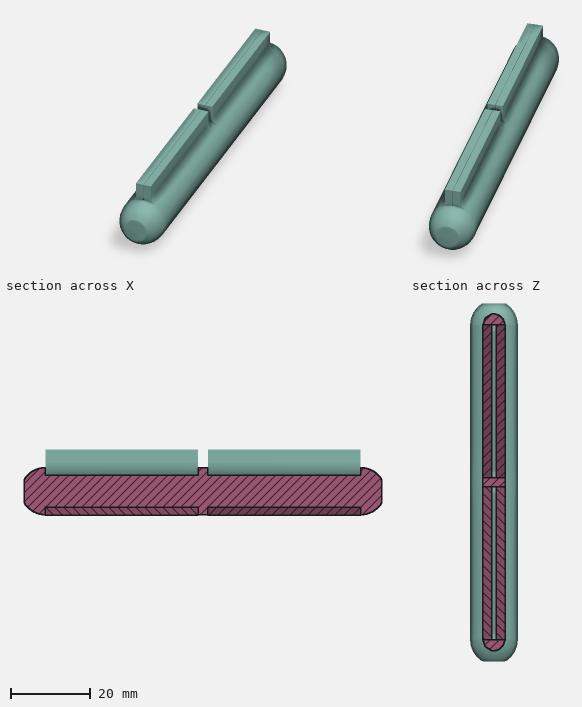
import cadquery as cq
import math

LENGTH = 89.5
BARREL_RADIUS = 6.0
LEAF_TOP = 10.5

SHEET = 2.0
LEAF_GAP = 0.1
BEND_RADIUS = 2.3
SLEEVE_LENGTH = 38.1

SHANK_RADIUS = BARREL_RADIUS - SHEET
COLLAR_WIDTH = 2.4
CAP_FOOT_Y = COLLAR_WIDTH / 2 + SLEEVE_LENGTH
RIM_RADIUS = 3.1
END_CHAMFER = 0.45
END_CHAMFER_DEPTH = 0.1


def make_sleeve(start_y):
    """Strip wrapped round the shank, its ends bent up side by side with a narrow gap."""
    inner_x = LEAF_GAP / 2
    outer_x = inner_x + SHEET
    bend_x = outer_x + BEND_RADIUS
    bend_z = math.sqrt((BARREL_RADIUS + BEND_RADIUS) ** 2 - bend_x**2)
    bend_angle = math.atan2(bend_z, bend_x)

    def on_barrel(side, radius):
        return (side * radius * math.cos(bend_angle), radius * math.sin(bend_angle))

    def mid_bend(side, radius):
        angle = bend_angle / 2
        return (side * (bend_x - radius * math.cos(angle)), bend_z - radius * math.sin(angle))

    inner_bend = BEND_RADIUS + SHEET
    outline = (
        cq.Workplane("XZ", origin=(0, start_y, 0))
        .moveTo(inner_x, LEAF_TOP)
        .lineTo(outer_x, LEAF_TOP)
        .lineTo(outer_x, bend_z)
        .threePointArc(mid_bend(1, BEND_RADIUS), on_barrel(1, BARREL_RADIUS))
        .threePointArc((0, -BARREL_RADIUS), on_barrel(-1, BARREL_RADIUS))
        .threePointArc(mid_bend(-1, BEND_RADIUS), (-outer_x, bend_z))
        .lineTo(-outer_x, LEAF_TOP)
        .lineTo(-inner_x, LEAF_TOP)
        .lineTo(-inner_x, bend_z)
        .threePointArc(mid_bend(-1, inner_bend), on_barrel(-1, SHANK_RADIUS))
        .threePointArc((0, -SHANK_RADIUS), on_barrel(1, SHANK_RADIUS))
        .threePointArc(mid_bend(1, inner_bend), (inner_x, bend_z))
        .close()
    )
    return outline.extrude(-SLEEVE_LENGTH)


def make_pin():
    """Shank with its collar and both domed caps, turned about the Y axis in one piece."""
    half_length = LENGTH / 2
    rim_y = half_length - END_CHAMFER_DEPTH
    dome_rise = rim_y - CAP_FOOT_Y
    dome_drop = BARREL_RADIUS - RIM_RADIUS
    dome_radius = (dome_rise**2 + dome_drop**2) / (2 * dome_drop)
    half_sweep = math.asin(dome_rise / dome_radius) / 2
    dome_mid_radius = BARREL_RADIUS - dome_radius * (1 - math.cos(half_sweep))
    dome_mid_y = CAP_FOOT_Y + dome_radius * math.sin(half_sweep)

    profile = (
        cq.Workplane(cq.Plane(origin=(0, 0, 0), xDir=(0, 1, 0), normal=(1, 0, 0)))
        .moveTo(-half_length, 0)
        .lineTo(-half_length, RIM_RADIUS - END_CHAMFER)
        .lineTo(-rim_y, RIM_RADIUS)
        .threePointArc((-dome_mid_y, dome_mid_radius), (-CAP_FOOT_Y, BARREL_RADIUS))
        .lineTo(-CAP_FOOT_Y, SHANK_RADIUS)
        .lineTo(-COLLAR_WIDTH / 2, SHANK_RADIUS)
        .lineTo(-COLLAR_WIDTH / 2, BARREL_RADIUS)
        .lineTo(COLLAR_WIDTH / 2, BARREL_RADIUS)
        .lineTo(COLLAR_WIDTH / 2, SHANK_RADIUS)
        .lineTo(CAP_FOOT_Y, SHANK_RADIUS)
        .lineTo(CAP_FOOT_Y, BARREL_RADIUS)
        .threePointArc((dome_mid_y, dome_mid_radius), (rim_y, RIM_RADIUS))
        .lineTo(half_length, RIM_RADIUS - END_CHAMFER)
        .lineTo(half_length, 0)
        .close()
    )
    return profile.revolve(360, (0, 0), (1, 0))


pin = make_pin()
sleeves = [make_sleeve(start_y) for start_y in (-CAP_FOOT_Y, COLLAR_WIDTH / 2)]

result = cq.Compound.makeCompound([pin.val(), *[sleeve.val() for sleeve in sleeves]])